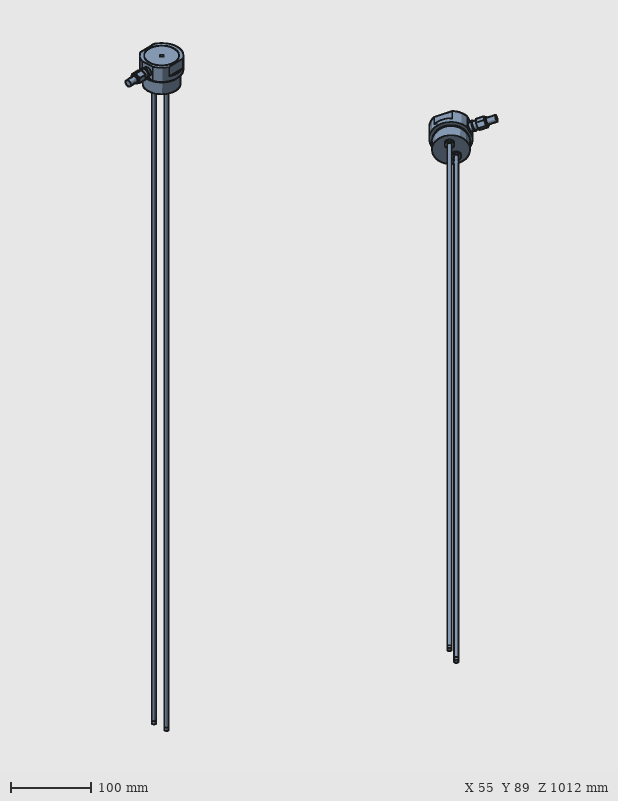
import cadquery as cq
import math

TOTAL_HEIGHT = 1012.0
OVERALL_DEPTH = 89.0

CAP_DIAMETER = 55.0
CAP_HEIGHT = 21.0
NECK_DIAMETER = 45.0
NECK_HEIGHT = 2.0
THREAD_DIAMETER = 48.0
THREAD_HEIGHT = 19.0
THREAD_CHAMFER = 1.5
CAP_BOTTOM = TOTAL_HEIGHT - CAP_HEIGHT
NECK_BOTTOM = CAP_BOTTOM - NECK_HEIGHT
HEAD_BOTTOM = NECK_BOTTOM - THREAD_HEIGHT

WRENCH_FLAT_FROM_AXIS = 24.0
WRENCH_FLAT_HEIGHT = 14.0
GLAND_FLAT_DEPTH = 1.5
GLAND_FLAT_FROM_AXIS = CAP_DIAMETER / 2 - GLAND_FLAT_DEPTH
LID_RECESS_DIAMETER = 43.0
LID_RECESS_DEPTH = 0.5
TOP_HOLE_DIAMETER = 5.0
TOP_HOLE_DEPTH = 5.0

ROD_SPACING = 21.0
ROD_Y = -2.5
ROD_DIAMETER = 6.0
TIP_DIAMETER = 5.8
TIP_LENGTH = 5.0
COLLAR_DIAMETER = 12.0
COLLAR_HEIGHT = 3.0

GLAND_Z = TOTAL_HEIGHT - 11.0
GLAND_REACH = OVERALL_DEPTH - CAP_DIAMETER / 2
SOCKET_DEPTH = 3.0
SOCKET_END = GLAND_FLAT_FROM_AXIS - SOCKET_DEPTH
STUB_DIAMETER = 12.0
WASHER_DIAMETER = 14.0
WASHER_START = 30.0
WASHER_THICKNESS = 1.0
NUT_ACROSS_FLATS = 13.0
NUT_START = 36.0
NUT_LENGTH = 11.0
NUT_END = NUT_START + NUT_LENGTH
LIP_DIAMETER = 12.0
LIP_LENGTH = 2.0
CABLE_DIAMETER = 9.0


def upright_cylinder(diameter, bottom, top, x=0, y=0):
    """Cylinder along Z between two heights."""
    return cq.Workplane("XY", origin=(x, y, bottom)).circle(diameter / 2).extrude(top - bottom)


def gland_cylinder(diameter, start, end):
    """Cylinder on the gland axis between two distances from the head axis."""
    return cq.Workplane("XZ", origin=(0, -start, GLAND_Z)).circle(diameter / 2).extrude(end - start)


def flat_cutter(distance, height, angle):
    """Block that leaves a flat at a distance from the head axis; angle 0 faces +X."""
    block = (
        cq.Workplane("XY", origin=(0, 0, TOTAL_HEIGHT - height))
        .box(CAP_DIAMETER, CAP_DIAMETER, height, centered=(False, True, False))
        .translate((distance, 0, 0))
    )
    return block.rotate((0, 0, 0), (0, 0, 1), angle)


def make_cap():
    cap = upright_cylinder(CAP_DIAMETER, CAP_BOTTOM, TOTAL_HEIGHT)
    for angle in (0, 180):
        cap = cap.cut(flat_cutter(WRENCH_FLAT_FROM_AXIS, WRENCH_FLAT_HEIGHT, angle))
    cap = cap.cut(flat_cutter(GLAND_FLAT_FROM_AXIS, CAP_HEIGHT, -90))
    lid_recess = upright_cylinder(LID_RECESS_DIAMETER, TOTAL_HEIGHT - LID_RECESS_DEPTH, TOTAL_HEIGHT)
    top_hole = upright_cylinder(TOP_HOLE_DIAMETER, TOTAL_HEIGHT - TOP_HOLE_DEPTH, TOTAL_HEIGHT)
    return cap.cut(lid_recess).cut(top_hole)


def make_threaded_base():
    neck = upright_cylinder(NECK_DIAMETER, NECK_BOTTOM, CAP_BOTTOM)
    thread = upright_cylinder(THREAD_DIAMETER, HEAD_BOTTOM, NECK_BOTTOM)
    return thread.faces(">Z").chamfer(THREAD_CHAMFER).union(neck)


def make_rod(x):
    """Rod with a thinner tip and a collar where it leaves the head."""
    tip = upright_cylinder(TIP_DIAMETER, 0, TIP_LENGTH, x, ROD_Y)
    shaft = upright_cylinder(ROD_DIAMETER, TIP_LENGTH, HEAD_BOTTOM, x, ROD_Y)
    collar = upright_cylinder(COLLAR_DIAMETER, HEAD_BOTTOM - COLLAR_HEIGHT, HEAD_BOTTOM, x, ROD_Y)
    return shaft.union(tip).union(collar)


def make_electrode():
    """Head and both rods as one solid, with a blind socket for the gland."""
    electrode = make_cap().union(make_threaded_base())
    for side in (-1, 1):
        electrode = electrode.union(make_rod(side * ROD_SPACING / 2))
    socket = gland_cylinder(STUB_DIAMETER, SOCKET_END, CAP_DIAMETER / 2)
    return electrode.cut(socket)


def make_gland_nut():
    """Hexagonal nut with two corners pointing up and down."""
    across_corners = NUT_ACROSS_FLATS / math.cos(math.pi / 6)
    return (
        cq.Workplane("XZ", origin=(0, -NUT_START, GLAND_Z))
        .transformed(rotate=(0, 0, 90))
        .polygon(6, across_corners)
        .extrude(NUT_LENGTH)
    )


def make_gland():
    stub = gland_cylinder(STUB_DIAMETER, SOCKET_END, NUT_START)
    washer = gland_cylinder(WASHER_DIAMETER, WASHER_START, WASHER_START + WASHER_THICKNESS)
    lip = gland_cylinder(LIP_DIAMETER, NUT_END, NUT_END + LIP_LENGTH)
    cable = gland_cylinder(CABLE_DIAMETER, NUT_END, GLAND_REACH)
    return stub.union(washer).union(make_gland_nut()).union(lip).union(cable)


electrode = make_electrode()
gland = make_gland()
result = cq.Compound.makeCompound([electrode.val(), gland.val()])